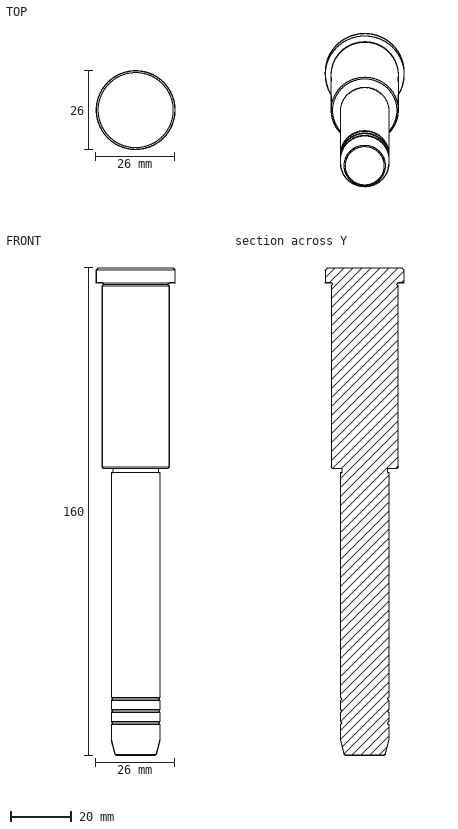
import cadquery as cq

total_length = 160.0

head_radius = 13.0
head_thickness = 5.0
head_chamfer = 0.6

body_radius = 11.0
body_bottom_depth = 66.0
body_chamfer = 0.5
head_relief_depth = 0.5

shank_radius = 8.0
neck_length = 1.3
neck_depth = 0.5

tip_length = 5.0
tip_radius = 6.7
tip_chamfer = 0.3

groove_depth = 0.5
lowest_groove_height = 10.5
groove_pitch = 4.0
groove_count = 3

head_bottom = total_length - head_thickness
body_bottom = total_length - body_bottom_depth
neck_bottom = body_bottom - neck_length


def cylinder(radius, bottom, top):
    """Cylinder on the Z axis between two heights."""
    return cq.Workplane("XY").workplane(offset=bottom).circle(radius).extrude(top - bottom)


def ring(outer_radius, depth, bottom, top):
    """Square-section ring that reduces a cylinder by the given depth between two heights."""
    return cylinder(outer_radius, bottom, top).cut(cylinder(outer_radius - depth, bottom, top))


def v_ring(ring_radius, depth, height):
    """Ring with a triangular section, used to cut a V groove with 45 degree sides."""
    section = (
        cq.Workplane("XZ")
        .moveTo(ring_radius - depth, height)
        .lineTo(ring_radius, height + depth)
        .lineTo(ring_radius, height - depth)
        .close()
    )
    return section.revolve(360, (0, 0), (0, 1))


def make_tip():
    """Cone narrowing downward to the chamfered end face."""
    cone = (
        cq.Workplane("XY")
        .circle(tip_radius)
        .workplane(offset=tip_length)
        .circle(shank_radius)
        .loft(ruled=True)
    )
    return cone.faces("<Z").edges().chamfer(tip_chamfer)


head = cylinder(head_radius, head_bottom, total_length).faces(">Z").edges().chamfer(head_chamfer)
body = cylinder(body_radius, body_bottom, head_bottom).faces("<Z").edges().chamfer(body_chamfer)
shank = cylinder(shank_radius, tip_length, body_bottom)

result = head.union(body).union(shank).union(make_tip())

result = result.cut(v_ring(body_radius, head_relief_depth, head_bottom - head_relief_depth))
result = result.cut(ring(shank_radius, neck_depth, neck_bottom, body_bottom))

for index in range(groove_count):
    centre = lowest_groove_height + index * groove_pitch
    result = result.cut(v_ring(shank_radius, groove_depth, centre))